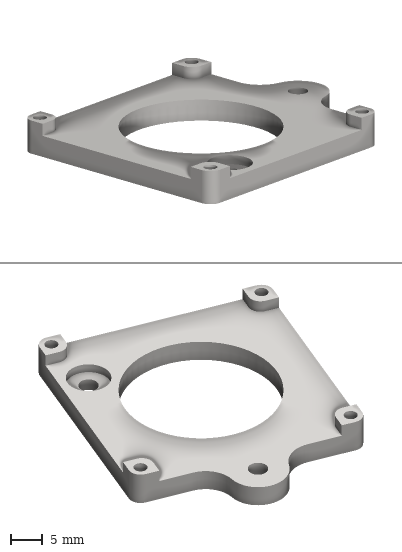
import cadquery as cq
import math

plate_side = 40.0
total_length = 48.0
plate_thickness = 3.5
total_height = 5.5
corner_radius = 2.0
half_side = plate_side / 2
bore_diameter = 26.0

standoff_side = 4.35
standoff_inner_radius = 2.0
corner_hole_diameter = 2.2
corner_hole_spacing = 36.0

ear_radius = 5.0
ear_fillet_radius = 5.0
mount_hole_diameter = 3.2
ear_center_y = total_length - half_side - ear_radius

counterbore_x = 15.0
counterbore_y = -10.0
counterbore_diameter = 7.2
counterbore_depth = 1.5


def make_plate():
    return (
        cq.Workplane("XY")
        .rect(plate_side, plate_side)
        .extrude(plate_thickness)
        .edges("|Z")
        .fillet(corner_radius)
    )


def make_ear():
    """Round ear blended into the plate edge by two concave arcs."""
    center_distance = ear_radius + ear_fillet_radius
    fillet_center_y = half_side + ear_fillet_radius
    rise = fillet_center_y - ear_center_y
    fillet_center_x = math.sqrt(center_distance**2 - rise**2)

    share = ear_radius / center_distance
    tangent_x = fillet_center_x * share
    tangent_y = ear_center_y + rise * share

    sweep_angle = math.acos(rise / center_distance)
    middle_angle = -math.pi / 2 - sweep_angle / 2
    middle_x = fillet_center_x + ear_fillet_radius * math.cos(middle_angle)
    middle_y = fillet_center_y + ear_fillet_radius * math.sin(middle_angle)

    return (
        cq.Workplane("XY")
        .moveTo(-fillet_center_x, half_side)
        .threePointArc((-middle_x, middle_y), (-tangent_x, tangent_y))
        .threePointArc((0, ear_center_y + ear_radius), (tangent_x, tangent_y))
        .threePointArc((middle_x, middle_y), (fillet_center_x, half_side))
        .lineTo(fillet_center_x, 0)
        .lineTo(-fillet_center_x, 0)
        .close()
        .extrude(plate_thickness)
    )


def make_standoff(x_sign, y_sign):
    """Square standoff rounded at the plate corner and at the corner facing the bore."""
    center = half_side - standoff_side / 2
    outer_edge = ">X and >Y"
    inner_edge = "<X and <Y"
    standoff = (
        cq.Workplane("XY")
        .center(center, center)
        .rect(standoff_side, standoff_side)
        .extrude(total_height)
        .edges(outer_edge)
        .fillet(corner_radius)
        .edges(inner_edge)
        .fillet(standoff_inner_radius)
    )
    if x_sign < 0:
        standoff = standoff.mirror("YZ")
    if y_sign < 0:
        standoff = standoff.mirror("XZ")
    return standoff


def through_holes(points, diameter):
    return cq.Workplane("XY").pushPoints(points).circle(diameter / 2).extrude(total_height)


body = make_plate().union(make_ear())
corner_hole_points = []
for x_sign in (-1, 1):
    for y_sign in (-1, 1):
        body = body.union(make_standoff(x_sign, y_sign))
        corner_hole_points.append((x_sign * corner_hole_spacing / 2, y_sign * corner_hole_spacing / 2))

mount_hole_points = [(0, ear_center_y), (counterbore_x, counterbore_y)]
counterbore = (
    cq.Workplane("XY", origin=(counterbore_x, counterbore_y, plate_thickness - counterbore_depth))
    .circle(counterbore_diameter / 2)
    .extrude(counterbore_depth)
)

result = (
    body.cut(through_holes([(0, 0)], bore_diameter))
    .cut(through_holes(corner_hole_points, corner_hole_diameter))
    .cut(through_holes(mount_hole_points, mount_hole_diameter))
    .cut(counterbore)
)